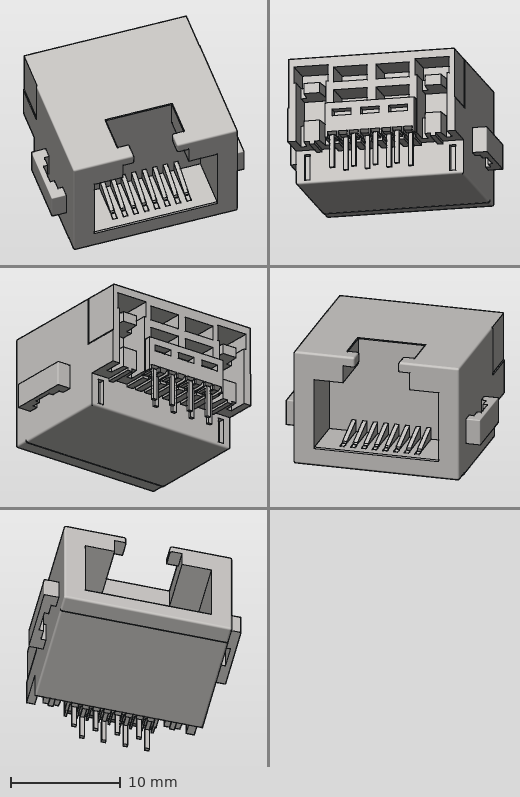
import cadquery as cq


body_length = 14.78
body_width = 15.72
body_height = 11.0
edge_round = 0.2
undercut_length = 3.2
undercut_height = 3.2
front_relief_start = 13.2
front_relief_height = 0.07

side_recess_length = 3.78
side_recess_bottom = 6.31
side_recess_depth = 0.07
side_recess_bottom_draft = 0.13
side_recess_front_draft = 0.07

overall_width = 18.45
staple_start = 6.5
staple_length = 6.05
staple_bottom = 2.9
staple_height = 2.38
staple_round = 0.1
staple_window_length = 3.95
staple_window_reach = 0.46
staple_notch_length = 2.0
staple_notch_reach = 0.87

bay_offset = 5.68
bay_width = 2.8
bay_ledge_depth = 1.95
bay_full_depth = undercut_length
bay_head_width = 3.21
bay_head_bottom = 8.7
bay_head_top = 10.24
bay_gap_bottom = 5.15
bay_gap_top = 7.75
block_base_width = 1.77
block_tip_width = 1.48
block_tip_x = 0.33

window_width = 3.14
window_offset = 1.97
window_depth = undercut_length
upper_window_bottom = 8.58
upper_window_top = 9.98
lower_window_top = 7.82

carrier_reach = 0.66
carrier_width = 8.35
carrier_top = 6.44
carrier_slot_width = 1.77
carrier_slot_pitch = 2.65
carrier_slot_bottom = 5.18
carrier_slot_height = 0.6
carrier_slot_depth = 0.92

contact_count = 8
contact_pitch = 1.01
pin_width = 0.4
pin_thickness = 0.28
pin_bend_round = 0.25
pin_bottom = 0.33
pin_row_spacing = 1.1
pin_root_x = 1.1
bay_rib_start = block_tip_x
rib_depth = 0.25
pin_rib_width = 0.66
bay_rib_width = 0.48
notch_width = 0.85
notch_height = 0.52
notch_slope_length = 0.46
notch_end_x = 0.75
pin_rib_start = notch_end_x

wall_slot_offset = 6.83
wall_slot_width = 0.55
wall_slot_bottom = 0.37
wall_slot_height = 2.42
wall_slot_depth = 0.55

cavity_start = 9.8
cavity_width = 11.8
cavity_bottom = 1.85
cavity_top = 8.47
cavity_sill = 0.11
opening_chamfer = 0.07
latch_width = 6.31
lip_start = 13.3
lip_gap = 4.13
lip_thickness = 0.89

contact_width = 0.4
contact_end = 12.97
contact_tip_length = 0.11
contact_tip_height = 0.15
contact_rise = 1.1
contact_slot_start = 13.08
contact_slot_end = 13.75
contact_slot_depth = 0.2

SIDES = (-1, 1)
SELECT_MARGIN = 0.02


def box(x_range, y_range, z_range):
    """Axis-aligned block spanning the given ranges."""
    x0, x1 = x_range
    y0, y1 = y_range
    z0, z1 = z_range
    return cq.Workplane("XY").box(x1 - x0, y1 - y0, z1 - z0, centered=False).translate((x0, y0, z0))


def across(y_middle, width):
    """Y range of the given width about a middle position."""
    return (y_middle - width / 2, y_middle + width / 2)


def side_profile(points, y_middle, width):
    """XZ outline extruded across Y about a middle position."""
    outline = cq.Workplane("XZ").polyline(points).close()
    return outline.extrude(width / 2, both=True).translate((0, y_middle, 0))


def contact_positions():
    middle = (contact_count - 1) / 2
    return [(i - middle) * contact_pitch for i in range(contact_count)]


def housing():
    """Rounded block on a deeper sole that starts at the undercut and stops short of the front."""
    y_range = across(0, body_width)
    block = box((0, body_length), y_range, (front_relief_height, body_height))
    block = block.edges("|X or >X").fillet(edge_round)
    block = block.cut(box((0, front_relief_start - edge_round), y_range, (0, undercut_height)))
    sole = box((undercut_length, front_relief_start), y_range, (0, undercut_height))
    sole = sole.edges("<Z and (not >X)").fillet(edge_round)
    return block.union(sole)


def side_recess(side):
    """Cutter whose front and bottom walls are drafted."""
    half = body_width / 2
    floor_y = half - side_recess_depth
    cutter = (
        cq.Workplane("XZ")
        .polyline([
            (-0.18, side_recess_bottom + side_recess_bottom_draft),
            (side_recess_length - side_recess_front_draft, side_recess_bottom + side_recess_bottom_draft),
            (side_recess_length - side_recess_front_draft, body_height + 0.18),
            (-0.18, body_height + 0.18),
        ])
        .close()
        .workplane(offset=-side_recess_depth)
        .polyline([
            (-0.18, side_recess_bottom),
            (side_recess_length, side_recess_bottom),
            (side_recess_length, body_height + 0.18),
            (-0.18, body_height + 0.18),
        ])
        .close()
        .loft(ruled=True)
        .translate((0, floor_y, 0))
    )
    return cutter if side > 0 else cutter.mirror("XZ")


def staple(side):
    """Bracket standing off the side, with a stepped window between it and the housing."""
    half = body_width / 2
    x_middle = staple_start + staple_length / 2
    z_range = (staple_bottom, staple_bottom + staple_height)
    bracket = box((staple_start, staple_start + staple_length), (half - 0.18, overall_width / 2), z_range)
    bracket = bracket.edges("(|Z and >Y) or (>Z and (not <Y))").fillet(staple_round)
    for length, reach in (
        (staple_window_length, staple_window_reach),
        (staple_notch_length, staple_notch_reach),
    ):
        bracket = bracket.cut(box(across(x_middle, length), (half, half + reach), z_range))
    return bracket if side > 0 else bracket.mirror("XZ")


def light_pipe_bay(side):
    """Recess of a bay; its middle gap reaches deeper than the rest."""
    y_middle = side * bay_offset
    lower = box((0, bay_ledge_depth), across(y_middle, bay_width), (undercut_height, bay_head_bottom))
    head = box((0, bay_full_depth), across(y_middle, bay_head_width), (bay_head_bottom, bay_head_top))
    gap = box((0, bay_full_depth), across(y_middle, bay_width), (bay_gap_bottom, bay_gap_top))
    return lower.union(head).union(gap)


def light_pipe_blocks(side):
    """Tapered blocks above and below the gap of a bay."""
    y_middle = side * bay_offset
    base = block_base_width / 2
    tip = block_tip_width / 2
    plan = [(bay_ledge_depth, -base), (block_tip_x, -tip), (block_tip_x, tip), (bay_ledge_depth, base)]
    column = cq.Workplane("XY").polyline(plan).close().extrude(bay_head_bottom - undercut_height)
    column = column.translate((0, y_middle, undercut_height))
    gap = box((0, bay_ledge_depth), across(y_middle, bay_width), (bay_gap_bottom, bay_gap_top))
    return column.cut(gap)


def rear_windows():
    windows = cq.Workplane("XY")
    for side in SIDES:
        y_range = across(side * window_offset, window_width)
        windows = windows.add(box((0, window_depth), y_range, (upper_window_bottom, upper_window_top)))
        windows = windows.add(box((0, window_depth), y_range, (carrier_top, lower_window_top)))
    return windows.combine()


def carrier():
    """Block behind the housing that guides the pins."""
    return box((-carrier_reach, 0), across(0, carrier_width), (undercut_height, carrier_top))


def carrier_slots():
    """Three slots through the carrier into the housing."""
    z_range = (carrier_slot_bottom, carrier_slot_bottom + carrier_slot_height)
    x_range = (-carrier_reach, carrier_slot_depth - carrier_reach)
    slots = cq.Workplane("XY")
    for i in (-1, 0, 1):
        slots = slots.add(box(x_range, across(i * carrier_slot_pitch, carrier_slot_width), z_range))
    return slots.combine()


def pin_notch(y_middle):
    """Notch under the carrier with a sloping mouth."""
    ceiling = undercut_height + pin_thickness
    outline = [
        (-carrier_reach, undercut_height),
        (-carrier_reach, undercut_height + notch_height),
        (notch_slope_length - carrier_reach, ceiling),
        (notch_end_x, ceiling),
        (notch_end_x, undercut_height),
    ]
    return side_profile(outline, y_middle, notch_width)


def pin(index, y_middle):
    """Bent pin; odd ones from the -Y side stand in the rearmost row."""
    x_back = -carrier_reach if index % 2 else pin_row_spacing - carrier_reach
    top = undercut_height + pin_thickness
    leg = box((x_back, x_back + pin_thickness), across(y_middle, pin_width), (pin_bottom, top))
    leg = leg.edges("|Y and <X and >Z").fillet(pin_bend_round)
    root = box((x_back + pin_thickness, pin_root_x), across(y_middle, pin_width), (undercut_height, top))
    return leg.union(root)


def rib(x_start, y_middle, width):
    """Rib on the undercut ceiling."""
    z_range = (undercut_height - rib_depth, undercut_height)
    return box((x_start, undercut_length), across(y_middle, width), z_range)


def wall_slot(side):
    x_range = (undercut_length, undercut_length + wall_slot_depth)
    z_range = (wall_slot_bottom, wall_slot_bottom + wall_slot_height)
    return box(x_range, across(side * wall_slot_offset, wall_slot_width), z_range)


def plug_cavity():
    """Plug space with a narrower latch channel, open to the top behind and between two lips."""
    front = body_length + 0.18
    plug = box((cavity_start, front), across(0, cavity_width), (cavity_bottom, cavity_top))
    channel_top = body_height - lip_thickness
    channel = box((cavity_start, front), across(0, latch_width), (cavity_top, channel_top))
    opening = box((cavity_start, lip_start), across(0, latch_width), (channel_top, body_height))
    lip_space = box((lip_start, front), across(0, lip_gap), (channel_top, body_height))
    return plug.union(channel).union(opening).union(lip_space)


def contact_slot(y_middle):
    """Slot in the cavity floor whose bottom curves down and levels out at its front end."""
    length = contact_slot_end - contact_slot_start
    radius = (length**2 + contact_slot_depth**2) / (2 * contact_slot_depth)
    outline = (
        cq.Workplane("XZ")
        .moveTo(contact_slot_start, cavity_bottom)
        .radiusArc((contact_slot_end, cavity_bottom - contact_slot_depth), -radius)
        .lineTo(contact_slot_end, cavity_bottom)
        .close()
    )
    return outline.extrude(contact_width / 2, both=True).translate((0, y_middle, 0))


def contact(y_middle):
    """Spring contact rising from the cavity floor towards the rear."""
    outline = [
        (cavity_start, cavity_bottom),
        (contact_end, cavity_bottom),
        (contact_end - contact_tip_length, cavity_bottom + contact_tip_height),
        (cavity_start, cavity_bottom + contact_rise),
    ]
    return side_profile(outline, y_middle, contact_width)


def round_opening(body):
    """Break the edges of the plug cavity: front sill, lip tips and rim of the top opening."""
    sill = cq.selectors.NearestToPointSelector((body_length, 0, cavity_bottom))
    lip_edges = cq.selectors.BoxSelector(
        (lip_start + 0.18, -latch_width / 2, body_height - SELECT_MARGIN),
        (body_length - 0.18, latch_width / 2, body_height + SELECT_MARGIN),
    )
    rim_edges = cq.selectors.BoxSelector(
        (cavity_start - 0.18, -latch_width / 2 - 0.18, body_height - SELECT_MARGIN),
        (lip_start - 0.18, latch_width / 2 + 0.18, body_height + SELECT_MARGIN),
    )
    body = body.edges(sill).chamfer(cavity_sill)
    body = body.edges("|X").edges(lip_edges).fillet(edge_round)
    return body.edges(rim_edges).chamfer(opening_chamfer)


part = round_opening(housing().cut(plug_cavity()))
part = part.union(carrier()).cut(carrier_slots()).cut(rear_windows())

for side in SIDES:
    part = part.cut(side_recess(side)).cut(light_pipe_bay(side)).cut(wall_slot(side))
    part = part.union(light_pipe_blocks(side)).union(staple(side))
    part = part.union(rib(bay_rib_start, side * bay_offset, bay_rib_width))

for index, y in enumerate(contact_positions()):
    part = part.cut(pin_notch(y)).union(rib(pin_rib_start, y, pin_rib_width)).union(pin(index, y))
    part = part.cut(contact_slot(y)).union(contact(y))

result = part